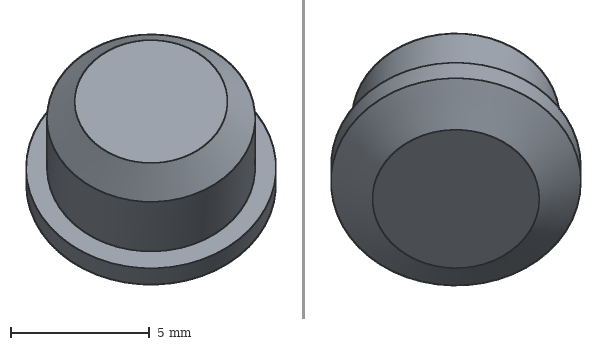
import cadquery as cq

total_height = 6.1
flange_diameter = 9.0
flange_height = 1.0
base_diameter = 6.0
base_taper_height = 1.1
body_diameter = 7.5
top_chamfer = 1.0

flange_radius = flange_diameter / 2
base_radius = base_diameter / 2
body_radius = body_diameter / 2
top_radius = body_radius - top_chamfer
flange_top = base_taper_height + flange_height
chamfer_start = total_height - top_chamfer

half_section = (
    cq.Workplane("XZ")
    .lineTo(base_radius, 0)
    .lineTo(flange_radius, base_taper_height)
    .lineTo(flange_radius, flange_top)
    .lineTo(body_radius, flange_top)
    .lineTo(body_radius, chamfer_start)
    .lineTo(top_radius, total_height)
    .lineTo(0, total_height)
    .close()
)

result = half_section.revolve(360, (0, 0, 0), (0, 1, 0))